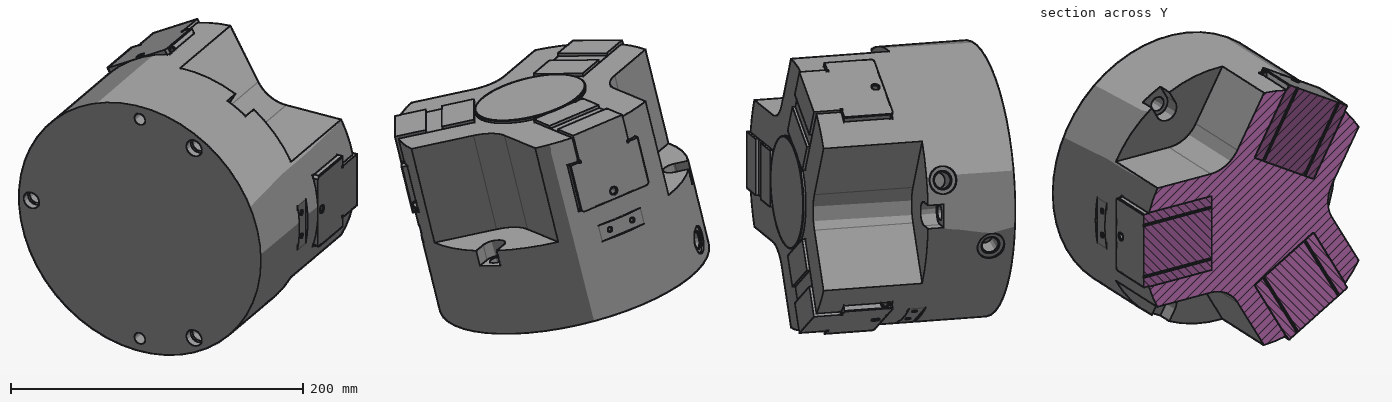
import cadquery as cq
import math


housing_radius = 95.0
housing_height = 133.0
boss_radius = 38.9
boss_chamfer = 0.5
total_height = 135.0

jaw_angles = (0, 120, 240)
jaw_inner_radius = 39.5
jaw_outer_radius = housing_radius
jaw_bottom = 80.0
jaw_shoulder = 115.1
jaw_half_width = 27.5
neck_half_width = 20.0
jaw_corner_chamfer = 2.0
jaw_edge_chamfer = 0.5
neck_relief_depth = 1.1
neck_relief_height = 1.5
cross_slot_inner_radius = 61.9
cross_slot_width = 11.5
jaw_hole_diameter = 4.5
jaw_hole_chamfer = 0.8
jaw_hole_y = 85.8
jaw_hole_depth = 9.5
side_hole_radius = 91.2

cutout_angles = (60, 180, 300)
cutout_floor = 62.5
cutout_half_width = 50.2
cutout_side_angle = 60
cutout_round_radius = 25.0
bolt_circle_radius = 85.0
bolt_hole_diameter = 10.2
bolt_bore_depth = 6.0
bolt_hole_chamfer = 1.0
bolt_head_radius = 8.2
bolt_head_floor = 51.1

locating_angles = (90, 270)
locating_diameter = 8.5
locating_depth = 11.5
drill_tip_angle = 118

ports = ((165, 50.8, 1), (195, 16.5, -1))
port_seat_diameter = 19.2
port_seat_radius = 93.5
port_diameter = 11.5
port_depth = 14.0
port_chamfer = 0.8
duct_diameter = 3.0
duct_offset = 3.5
duct_depth = 7.7

flat_angles = (0, 240)
flat_radius = 93.5
flat_bottom = 54.0
flat_height = 11.9
flat_hole_spacing = 18.0
flat_hole_diameter = 2.7
flat_hole_chamfer = 0.5
flat_hole_depth = 9.5

INWARDS = (-1, 0, 0)
UPWARDS = (0, 1, 0)


def turned(shape, angle):
    """Turn a shape about the main axis, from +X towards +Z."""
    return shape.rotate((0, 0, 0), (0, -1, 0), angle)


def section_at(y):
    """Plane square to the main axis: local x is X, local y is Z; extrude by -h to go towards +Y."""
    return cq.Workplane(cq.Plane(origin=(0, y, 0), xDir=(1, 0, 0), normal=(0, -1, 0)))


def drilled_hole(diameter, depth, mouth, direction, chamfer=0.0):
    """Cylinder that starts at the point mouth, with an optional 45 degree chamfer there."""
    start = cq.Vector(*mouth)
    axis = cq.Vector(*direction)
    radius = diameter / 2
    hole = cq.Workplane(cq.Solid.makeCylinder(radius, depth, start, axis))
    if chamfer > 0:
        cone = cq.Solid.makeCone(radius + chamfer, radius, chamfer, start, axis)
        hole = hole.union(cq.Workplane(cone))
    return hole


def radial_bar(half_width, bottom, top, outer_radius):
    """Rectangular bar along X that starts at the inner end of a jaw."""
    return (
        cq.Workplane("YZ", origin=(jaw_inner_radius, 0, 0))
        .center((bottom + top) / 2, 0)
        .rect(top - bottom, 2 * half_width)
        .extrude(outer_radius - jaw_inner_radius)
    )


def make_jaw():
    base = radial_bar(jaw_half_width, jaw_bottom, jaw_shoulder, jaw_outer_radius)
    base = base.faces("<Y").edges("|X").chamfer(jaw_corner_chamfer)
    base = base.faces(">X").edges("|Y").chamfer(jaw_edge_chamfer)
    jaw = base.union(radial_bar(neck_half_width, jaw_shoulder, total_height, jaw_outer_radius))

    groove_length = jaw_outer_radius - jaw_inner_radius
    groove_x = (jaw_outer_radius + jaw_inner_radius) / 2
    for side in (-1, 1):
        groove_z = side * (neck_half_width - neck_relief_depth / 2)
        groove = cq.Workplane().box(groove_length, neck_relief_height, neck_relief_depth)
        jaw = jaw.cut(groove.translate((groove_x, jaw_shoulder, groove_z)))

    slot = (
        section_at(housing_height)
        .center(cross_slot_inner_radius + cross_slot_width / 2, 0)
        .rect(cross_slot_width, 2 * neck_half_width)
        .extrude(housing_height - total_height)
    )
    jaw = jaw.cut(slot)

    outer_mouth = (jaw_outer_radius, jaw_hole_y, 0)
    side_mouth = (side_hole_radius, jaw_hole_y, -jaw_half_width)
    for mouth, direction in ((outer_mouth, INWARDS), (side_mouth, (0, 0, 1))):
        hole = drilled_hole(jaw_hole_diameter, jaw_hole_depth, mouth, direction, jaw_hole_chamfer)
        jaw = jaw.cut(hole)
    return jaw


def make_cutout():
    """V with a rounded bottom, open outwards and at the top, plus the stepped bolt hole in its floor."""
    side_angle = math.radians(cutout_side_angle)
    corner_x = math.sqrt(housing_radius**2 - cutout_half_width**2)
    apex_x = corner_x - cutout_half_width / math.tan(side_angle)
    round_centre_x = apex_x + cutout_round_radius / math.sin(side_angle)
    tangent_x = round_centre_x - cutout_round_radius * math.sin(side_angle)
    tangent_z = cutout_round_radius * math.cos(side_angle)
    mouth_x = housing_radius + cutout_round_radius
    mouth_z = (mouth_x - apex_x) * math.tan(side_angle)
    cutout = (
        section_at(cutout_floor)
        .moveTo(mouth_x, mouth_z)
        .lineTo(tangent_x, tangent_z)
        .threePointArc((round_centre_x - cutout_round_radius, 0), (tangent_x, -tangent_z))
        .lineTo(mouth_x, -mouth_z)
        .close()
        .extrude(cutout_floor - housing_height)
    )
    head_recess = section_at(bolt_head_floor).center(bolt_circle_radius, 0).circle(bolt_head_radius)
    head_recess = head_recess.extrude(bolt_head_floor - cutout_floor)
    recess_mouth = (
        section_at(bolt_head_floor)
        .center(bolt_circle_radius + bolt_head_radius, 0)
        .rect(2 * bolt_head_radius, 2 * bolt_head_radius)
        .extrude(bolt_head_floor - cutout_floor)
    )
    bolt_length = bolt_head_floor - bolt_bore_depth
    bolt_mouth = (bolt_circle_radius, bolt_bore_depth, 0)
    bolt_hole = drilled_hole(bolt_hole_diameter, bolt_length, bolt_mouth, UPWARDS, bolt_hole_chamfer)
    bore_diameter = bolt_hole_diameter + 2 * bolt_hole_chamfer
    bolt_bore = drilled_hole(bore_diameter, bolt_bore_depth, (bolt_circle_radius, 0, 0), UPWARDS)
    return cutout.union(head_recess).union(recess_mouth).union(bolt_hole).union(bolt_bore)


def make_locating_hole():
    """Blind hole with a drilled cone at its end."""
    radius = locating_diameter / 2
    tip_length = radius / math.tan(math.radians(drill_tip_angle / 2))
    return (
        cq.Workplane("XY")
        .polyline([
            (0, 0),
            (radius, 0),
            (radius, locating_depth),
            (0, locating_depth + tip_length),
        ])
        .close()
        .revolve(360, (0, 0), (0, 1))
        .translate((bolt_circle_radius, 0, 0))
    )


def make_port(y, duct_side):
    """Flat seat, chamfered bore and a small duct in the floor of the bore."""
    seat_depth = housing_radius - port_seat_radius
    seat = drilled_hole(port_seat_diameter, seat_depth, (housing_radius, y, 0), INWARDS)
    bore = drilled_hole(port_diameter, port_depth, (port_seat_radius, y, 0), INWARDS, port_chamfer)
    duct_mouth = (port_seat_radius - port_depth, y + duct_side * duct_offset, 0)
    duct = drilled_hole(duct_diameter, duct_depth, duct_mouth, INWARDS)
    return seat.union(bore).union(duct)


def make_flat():
    """Shallow flat on the outer wall with two screw holes side by side."""
    flat = (
        section_at(flat_bottom)
        .center(flat_radius + housing_radius / 2, 0)
        .rect(housing_radius, 2 * housing_radius)
        .extrude(-flat_height)
    )
    hole_y = flat_bottom + flat_height / 2
    for side in (-1, 1):
        mouth = (flat_radius, hole_y, side * flat_hole_spacing / 2)
        hole = drilled_hole(flat_hole_diameter, flat_hole_depth, mouth, INWARDS, flat_hole_chamfer)
        flat = flat.union(hole)
    return flat


def make_housing():
    housing = section_at(0).circle(housing_radius).extrude(-housing_height)
    boss = section_at(housing_height).circle(boss_radius).extrude(housing_height - total_height)
    housing = housing.union(boss.faces(">Y").edges().chamfer(boss_chamfer))

    base_slot = radial_bar(jaw_half_width, jaw_bottom, jaw_shoulder, 2 * housing_radius)
    neck_slot = radial_bar(neck_half_width, jaw_shoulder, total_height, 2 * housing_radius)
    jaw_slot = base_slot.union(neck_slot)
    for angle in jaw_angles:
        housing = housing.cut(turned(jaw_slot, angle))

    cutout = make_cutout()
    for angle in cutout_angles:
        housing = housing.cut(turned(cutout, angle))

    locating_hole = make_locating_hole()
    for angle in locating_angles:
        housing = housing.cut(turned(locating_hole, angle))

    for angle, y, duct_side in ports:
        housing = housing.cut(turned(make_port(y, duct_side), angle))

    flat = make_flat()
    for angle in flat_angles:
        housing = housing.cut(turned(flat, angle))
    return housing


housing = make_housing()
jaw = make_jaw()
jaws = [turned(jaw, angle) for angle in jaw_angles]

result = cq.Compound.makeCompound([housing.val(), *[placed.val() for placed in jaws]])